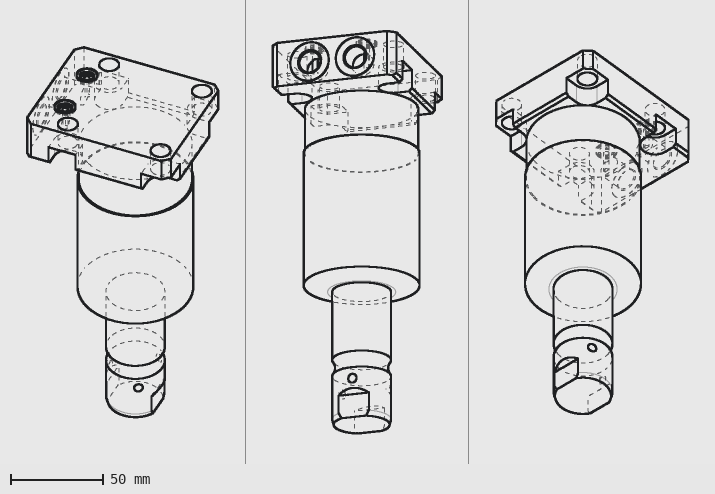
import cadquery as cq
import math


plate_length = 85.5
plate_width = 70.87
plate_height = 25.0
axis_to_port_face = 50.25
plate_corner_chamfer = 4.0
plate_bottom_chamfer = 1.75
port_face_x = -axis_to_port_face
far_face_x = plate_length - axis_to_port_face
half_width = plate_width / 2

bolt_pitch = 55.0
bolt_hole_diameter = 10.8
bolt_center_x = -0.3
relief_width = 16.0
relief_height = 12.0
relief_radius = relief_width / 2
near_bolt_x = bolt_center_x - bolt_pitch / 2
far_bolt_x = bolt_center_x + bolt_pitch / 2
bolt_y = bolt_pitch / 2

port_spacing = 26.0
port_diameter = 12.0
port_mouth_diameter = 13.2
port_depth = 14.5
port_z = -12.7
spotface_diameter = 22.0
spotface_depth = 0.2

top_port_spacing = 29.2
top_port_x = port_face_x + 15.0
passage_diameter = 3.0
passage_depth = 14.5
seal_bore_diameter = 6.4
seal_bore_depth = 2.2
seal_seat_diameter = 11.5
seal_seat_depth = 1.4
ring_section_diameter = 1.8
ring_protrusion = 0.22

neck_diameter = 61.5
neck_height = 25.4
body_diameter = 63.0
body_end_diameter = 37.0
body_bottom_z = -126.2
body_cone_height = 3.7

rod_diameter = 32.0
rod_end_z = -206.0
rod_end_chamfer_width = 0.8
rod_end_chamfer_height = 3.0
groove_top_z = -169.0
groove_width = 9.2
groove_depth = 1.55

flat_distance = 27.0
flat_top_z = -192.9
flat_ramp_height = 2.7
dimple_z = -184.6
dimple_diameter = 5.1
dimple_count = 3
dimple_angle = 90.0


def cylinder_along_z(diameter, x, y, top_z, height):
    """Vertical cylinder hanging down from top_z."""
    return cq.Workplane("XY", origin=(x, y, top_z)).circle(diameter / 2).extrude(-height)


def make_plate():
    """Block with chamfered corners; the port edge of the underside stays sharp."""
    plate = (
        cq.Workplane("XY")
        .center((port_face_x + far_face_x) / 2, 0)
        .rect(plate_length, plate_width)
        .extrude(-plate_height)
        .faces("<Z")
        .edges("not(<X)")
        .chamfer(plate_bottom_chamfer)
    )
    corner_side = plate_corner_chamfer * math.sqrt(2)
    for corner_x in (port_face_x, far_face_x):
        for corner_y in (-half_width, half_width):
            corner_cutter = (
                cq.Workplane("XY", origin=(corner_x, corner_y, 0))
                .rect(corner_side, corner_side)
                .extrude(-plate_height)
                .rotate((corner_x, corner_y, 0), (corner_x, corner_y, 1), 45)
            )
            plate = plate.cut(corner_cutter)
    return plate


def make_relief(side):
    """Underside pockets at the near and far bolt holes on one side (-1 or +1) in Y."""
    near_slot = (
        cq.Workplane("XY", origin=(0, 0, -plate_height))
        .moveTo(near_bolt_x - relief_radius, side * half_width)
        .lineTo(near_bolt_x - relief_radius, side * bolt_y)
        .threePointArc(
            (near_bolt_x, side * (bolt_y - relief_radius)),
            (near_bolt_x + relief_radius, side * bolt_y),
        )
        .lineTo(near_bolt_x + relief_radius, side * half_width)
        .close()
        .extrude(relief_height)
    )
    arc_middle_reach = relief_radius * math.sqrt(0.5)
    far_corner = (
        cq.Workplane("XY", origin=(0, 0, -plate_height))
        .moveTo(far_bolt_x - relief_radius, side * half_width)
        .lineTo(far_bolt_x - relief_radius, side * bolt_y)
        .threePointArc(
            (far_bolt_x - arc_middle_reach, side * (bolt_y - arc_middle_reach)),
            (far_bolt_x, side * (bolt_y - relief_radius)),
        )
        .lineTo(far_face_x, side * (bolt_y - relief_radius))
        .lineTo(far_face_x, side * half_width)
        .close()
        .extrude(relief_height)
    )
    return near_slot.union(far_corner)


def make_port(y):
    """Blind side port with a countersunk mouth and a shallow spotface."""
    mouth_depth = spotface_depth + (port_mouth_diameter - port_diameter) / 2
    return (
        cq.Workplane("XZ")
        .lineTo(spotface_diameter / 2, 0)
        .lineTo(spotface_diameter / 2, spotface_depth)
        .lineTo(port_mouth_diameter / 2, spotface_depth)
        .lineTo(port_diameter / 2, mouth_depth)
        .lineTo(port_diameter / 2, port_depth)
        .lineTo(0, port_depth)
        .close()
        .revolve(360, (0, 0), (0, 1))
        .rotate((0, 0, 0), (0, 1, 0), 90)
        .translate((port_face_x, y, port_z))
    )


def make_top_port(y):
    """Stepped bore for a seal ring, with a narrow passage below it."""
    seat = cylinder_along_z(seal_seat_diameter, top_port_x, y, 0, seal_seat_depth)
    bore = cylinder_along_z(seal_bore_diameter, top_port_x, y, 0, seal_bore_depth)
    passage = cylinder_along_z(passage_diameter, top_port_x, y, 0, passage_depth)
    return seat.union(bore).union(passage)


def make_seal_ring(y):
    """Seal ring lying in its seat and standing slightly proud of the plate."""
    section_radius = ring_section_diameter / 2
    ring_radius = seal_seat_diameter / 2 - section_radius
    ring = cq.Solid.makeTorus(ring_radius, section_radius)
    return cq.Workplane(ring).translate((top_port_x, y, ring_protrusion - section_radius))


def make_cylinder():
    """Neck, body and grooved piston rod as one turned profile."""
    rod_radius = rod_diameter / 2
    neck_bottom_z = -plate_height - neck_height
    cone_end_z = body_bottom_z - body_cone_height
    groove_bottom_z = groove_top_z - groove_width
    return (
        cq.Workplane("YZ")
        .moveTo(0, -plate_height)
        .lineTo(neck_diameter / 2, -plate_height)
        .lineTo(neck_diameter / 2, neck_bottom_z)
        .lineTo(body_diameter / 2, neck_bottom_z)
        .lineTo(body_diameter / 2, body_bottom_z)
        .lineTo(body_end_diameter / 2, cone_end_z)
        .lineTo(rod_radius, cone_end_z)
        .lineTo(rod_radius, groove_top_z)
        .threePointArc(
            (rod_radius - groove_depth, groove_top_z - groove_width / 2),
            (rod_radius, groove_bottom_z),
        )
        .lineTo(rod_radius, rod_end_z + rod_end_chamfer_height)
        .lineTo(rod_radius - rod_end_chamfer_width, rod_end_z)
        .lineTo(0, rod_end_z)
        .close()
        .revolve(360, (0, 0), (0, 1))
    )


def make_flat(side):
    """Cutter for one wrench flat on the -X or +X side, with a sloping upper end."""
    flat_x = side * flat_distance / 2
    rim_x = side * rod_diameter / 2
    return (
        cq.Workplane("XZ")
        .moveTo(flat_x, rod_end_z)
        .lineTo(flat_x, flat_top_z)
        .lineTo(rim_x, flat_top_z + flat_ramp_height)
        .lineTo(rim_x, rod_end_z)
        .close()
        .extrude(rod_diameter / 2, both=True)
    )


def make_dimple(angle):
    """Conical dimple pointing at the rod axis; 180 degrees is the -X side."""
    radius = dimple_diameter / 2
    depth = radius / math.tan(math.radians(dimple_angle / 2))
    outward = cq.Vector(math.cos(math.radians(angle)), math.sin(math.radians(angle)), 0)
    base = outward * (rod_diameter / 2) + cq.Vector(0, 0, dimple_z)
    return cq.Workplane(cq.Solid.makeCone(radius, 0, depth, base, outward * -1))


result = make_plate()
for side in (-1, 1):
    result = result.cut(make_relief(side))
result = result.union(make_cylinder())
for side in (-1, 1):
    for bolt_x in (near_bolt_x, far_bolt_x):
        bolt_hole = cylinder_along_z(bolt_hole_diameter, bolt_x, side * bolt_y, 0, plate_height)
        result = result.cut(bolt_hole)
    result = result.cut(make_port(side * port_spacing / 2))
    result = result.cut(make_top_port(side * top_port_spacing / 2))
    result = result.union(make_seal_ring(side * top_port_spacing / 2))
    result = result.cut(make_flat(side))
for index in range(dimple_count):
    result = result.cut(make_dimple(180 + index * 360 / dimple_count))